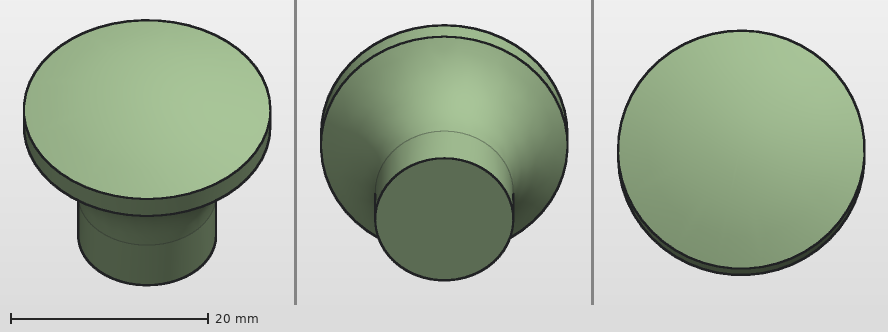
import cadquery as cq
import math

head_diameter = 25.0
stem_diameter = 14.0
total_height = 21.0
rim_height = 2.5
dome_height = 2.5
flare_radius = 12.0

head_radius = head_diameter / 2
stem_radius = stem_diameter / 2
rim_top = total_height - dome_height
rim_bottom = rim_top - rim_height

flare_center_radius = stem_radius + flare_radius
flare_height = math.sqrt(flare_radius**2 - (flare_center_radius - head_radius) ** 2)
stem_height = rim_bottom - flare_height


def dome_midpoint():
    """Point of the dome arc halfway out from the axis."""
    sphere_radius = (head_radius**2 + dome_height**2) / (2 * dome_height)
    sphere_center = total_height - sphere_radius
    half_radius = head_radius / 2
    return (half_radius, sphere_center + math.sqrt(sphere_radius**2 - half_radius**2))


def half_profile():
    """Half section in the XZ plane, from the axis outwards."""
    return (
        cq.Workplane("XZ")
        .lineTo(stem_radius, 0)
        .lineTo(stem_radius, stem_height)
        .tangentArcPoint((head_radius, rim_bottom), relative=False)
        .lineTo(head_radius, rim_top)
        .threePointArc(dome_midpoint(), (0, total_height))
        .close()
    )


result = half_profile().revolve(360, (0, 0, 0), (0, 1, 0))